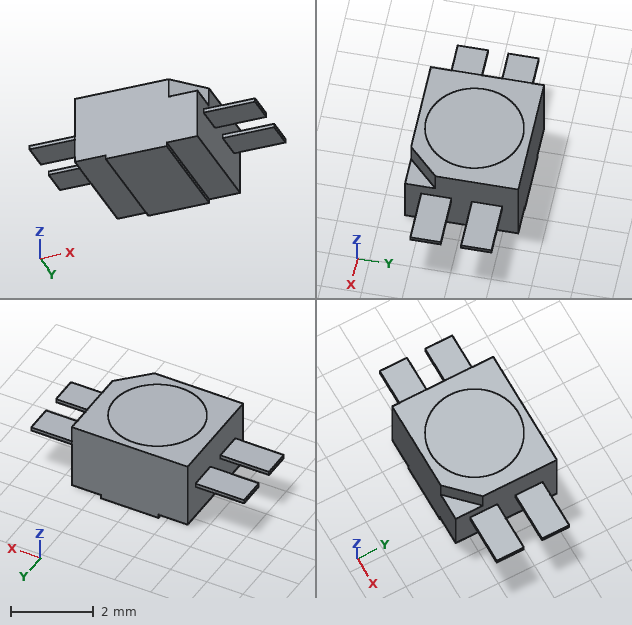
import cadquery as cq


overall_length = 5.88
housing_length = 3.2
housing_width = 2.8
housing_height = 1.8

pad_length = 1.59
pad_height = 0.1

corner_leg = 0.75
corner_depth = 0.5

lens_diameter = 2.4
lens_depth = 0.5

lead_width = 0.75
lead_thickness = 0.1
lead_pitch = 1.25

lead_length = (overall_length - housing_length) / 2
lead_centre_x = (housing_length + lead_length) / 2
lead_bottom_z = housing_height / 2
lens_bottom_z = housing_height - lens_depth


def make_pad():
    """Raised pad across the underside, part of the housing."""
    return cq.Workplane("XY").box(
        pad_length, housing_width, pad_height, centered=(True, True, False)
    ).translate((0, 0, -pad_height))


def make_corner_notch():
    """Triangular cutter for the index mark at the +X, -Y top corner."""
    corner_x = housing_length / 2
    corner_y = -housing_width / 2
    return (
        cq.Workplane("XY", origin=(0, 0, housing_height))
        .moveTo(corner_x, corner_y)
        .lineTo(corner_x, corner_y + corner_leg)
        .lineTo(corner_x - corner_leg, corner_y)
        .close()
        .extrude(-corner_depth)
    )


def make_lens():
    """Round lens, flush with the top of the housing."""
    return (
        cq.Workplane("XY", origin=(0, 0, lens_bottom_z))
        .circle(lens_diameter / 2)
        .extrude(lens_depth)
    )


def make_housing():
    """Block with the pad underneath, the index notch and the recess that holds the lens."""
    block = cq.Workplane("XY").box(
        housing_length, housing_width, housing_height, centered=(True, True, False)
    )
    return block.union(make_pad()).cut(make_corner_notch()).cut(make_lens())


def make_lead(side_x, side_y):
    """Flat lead that butts against an end face; side_x and side_y are -1 or 1."""
    return cq.Workplane("XY").box(
        lead_length, lead_width, lead_thickness, centered=(True, True, False)
    ).translate((side_x * lead_centre_x, side_y * lead_pitch / 2, lead_bottom_z))


housing = make_housing()
lens = make_lens()
leads = [make_lead(side_x, side_y) for side_x in (-1, 1) for side_y in (-1, 1)]

result = cq.Compound.makeCompound(
    [housing.val(), lens.val(), *[lead.val() for lead in leads]]
)